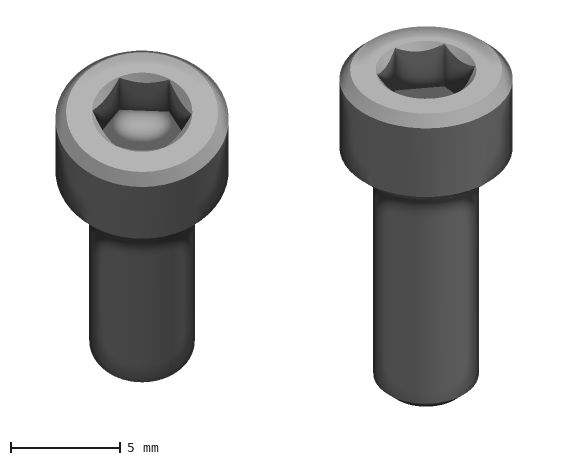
import cadquery as cq
import math

total_length = 17.53
head_diameter = 7.94
head_height = 4.82
head_chamfer = 0.49
shank_diameter = 4.84
tip_chamfer = 0.56

socket_across_flats = 3.95
socket_depth = 2.4
countersink_diameter = 4.61
countersink_angle = 45.0

shank_length = total_length - head_height
socket_across_corners = socket_across_flats / math.cos(math.radians(30))
countersink_radius = countersink_diameter / 2
countersink_depth = countersink_radius * math.tan(math.radians(countersink_angle))


def make_head():
    """Cylindrical head above Z = 0, chamfered on both rims."""
    return cq.Workplane("XY").circle(head_diameter / 2).extrude(head_height).edges().chamfer(head_chamfer)


def make_shank():
    """Plain shank hanging below the head, chamfered at its tip."""
    shank = cq.Workplane("XY").circle(shank_diameter / 2).extrude(-shank_length)
    return shank.faces("<Z").edges().chamfer(tip_chamfer)


def make_socket():
    """Hexagonal pocket with corners on the Y axis, opened by a conical countersink."""
    hexagon = (
        cq.Workplane("XY", origin=(0, 0, head_height))
        .transformed(rotate=(0, 0, 90))
        .polygon(6, socket_across_corners)
        .extrude(-socket_depth)
    )
    countersink = cq.Workplane(
        cq.Solid.makeCone(
            countersink_radius,
            0,
            countersink_depth,
            pnt=cq.Vector(0, 0, head_height),
            dir=cq.Vector(0, 0, -1),
        )
    )
    return hexagon.union(countersink)


result = make_head().union(make_shank()).cut(make_socket())